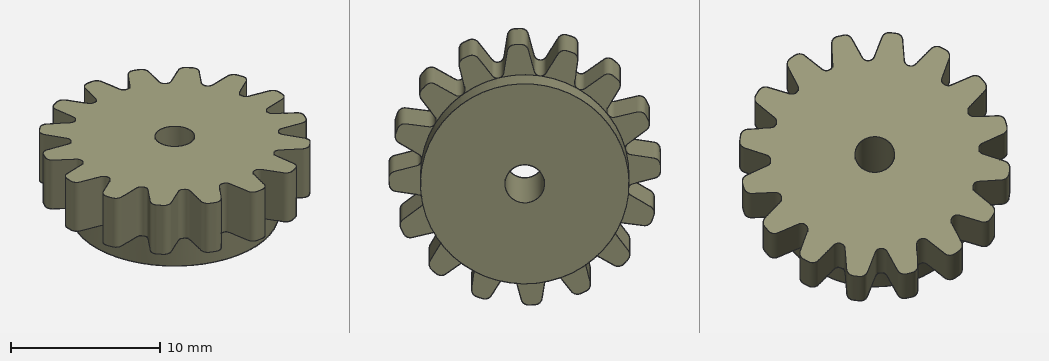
import cadquery as cq
import math

TOOTH_COUNT = 16
TIP_RADIUS = 9.105
ROOT_RADIUS = 6.98
TIP_ROUND_RADIUS = 0.516
ROOT_ROUND_RADIUS = 0.42
TIP_LAND_WIDTH = 0.42
ROOT_LAND_WIDTH = 0.02
GEAR_THICKNESS = 3.81
HUB_DIAMETER = 13.97
HUB_HEIGHT = 2.16
BORE_DIAMETER = 2.65

PITCH_ANGLE = 2 * math.pi / TOOTH_COUNT
TOTAL_HEIGHT = HUB_HEIGHT + GEAR_THICKNESS


def polar(radius, angle, center=(0.0, 0.0)):
    """Point at a radius and angle from a center."""
    x = center[0] + radius * math.cos(angle)
    y = center[1] + radius * math.sin(angle)
    return (x, y)


LAND_HALF_ANGLE = math.asin(TIP_LAND_WIDTH / 2 / TIP_RADIUS)
TIP_CENTER = polar(TIP_RADIUS - TIP_ROUND_RADIUS, LAND_HALF_ANGLE)
ROOT_LAND_START_ANGLE = PITCH_ANGLE / 2 - math.asin(ROOT_LAND_WIDTH / 2 / ROOT_RADIUS)
ROOT_CENTER = polar(ROOT_RADIUS + ROOT_ROUND_RADIUS, ROOT_LAND_START_ANGLE)

CENTER_DISTANCE = math.dist(TIP_CENTER, ROOT_CENTER)
CENTER_LINE_ANGLE = math.atan2(ROOT_CENTER[1] - TIP_CENTER[1], ROOT_CENTER[0] - TIP_CENTER[0])
FLANK_NORMAL = CENTER_LINE_ANGLE - math.acos((TIP_ROUND_RADIUS + ROOT_ROUND_RADIUS) / CENTER_DISTANCE)
FLANK_TOP = polar(TIP_ROUND_RADIUS, FLANK_NORMAL, TIP_CENTER)
FLANK_BOTTOM = polar(ROOT_ROUND_RADIUS, FLANK_NORMAL + math.pi, ROOT_CENTER)
TIP_ROUND_MIDDLE = polar(TIP_ROUND_RADIUS, (LAND_HALF_ANGLE + FLANK_NORMAL) / 2, TIP_CENTER)
ROOT_ROUND_ANGLE = (FLANK_NORMAL + ROOT_LAND_START_ANGLE) / 2 + math.pi
ROOT_ROUND_MIDDLE = polar(ROOT_ROUND_RADIUS, ROOT_ROUND_ANGLE, ROOT_CENTER)
LAND_END = polar(TIP_RADIUS, LAND_HALF_ANGLE)
ROOT_LAND_START = polar(ROOT_RADIUS, ROOT_LAND_START_ANGLE)
ROOT_BOTTOM = polar(ROOT_RADIUS, PITCH_ANGLE / 2)


def rotate(point, angle):
    """Point turned about the gear axis."""
    return polar(math.hypot(*point), math.atan2(point[1], point[0]) + angle)


def mirror(point):
    """Point on the other side of the tooth centerline."""
    return (point[0], -point[1])


def add_tooth(outline, angle):
    """Add one tooth and its following gap, ending at the foot of the next tooth's first flank."""
    def place(point):
        return rotate(point, angle)

    def place_next(point):
        return rotate(point, angle + PITCH_ANGLE)

    return (
        outline
        .lineTo(*place(mirror(FLANK_TOP)))
        .threePointArc(place(mirror(TIP_ROUND_MIDDLE)), place(mirror(LAND_END)))
        .threePointArc(place((TIP_RADIUS, 0)), place(LAND_END))
        .threePointArc(place(TIP_ROUND_MIDDLE), place(FLANK_TOP))
        .lineTo(*place(FLANK_BOTTOM))
        .threePointArc(place(ROOT_ROUND_MIDDLE), place(ROOT_LAND_START))
        .threePointArc(place(ROOT_BOTTOM), place_next(mirror(ROOT_LAND_START)))
        .threePointArc(place_next(mirror(ROOT_ROUND_MIDDLE)), place_next(mirror(FLANK_BOTTOM)))
    )


def make_gear():
    """Toothed disc standing on the hub."""
    outline = cq.Workplane("XY").workplane(offset=HUB_HEIGHT).moveTo(*mirror(FLANK_BOTTOM))
    for tooth in range(TOOTH_COUNT):
        outline = add_tooth(outline, tooth * PITCH_ANGLE)
    return outline.close().extrude(GEAR_THICKNESS)


def make_hub():
    """Round hub below the teeth."""
    return cq.Workplane("XY").circle(HUB_DIAMETER / 2).extrude(HUB_HEIGHT)


def make_bore():
    """Shaft hole through the full height."""
    return cq.Workplane("XY").circle(BORE_DIAMETER / 2).extrude(TOTAL_HEIGHT)


result = make_hub().union(make_gear()).cut(make_bore())